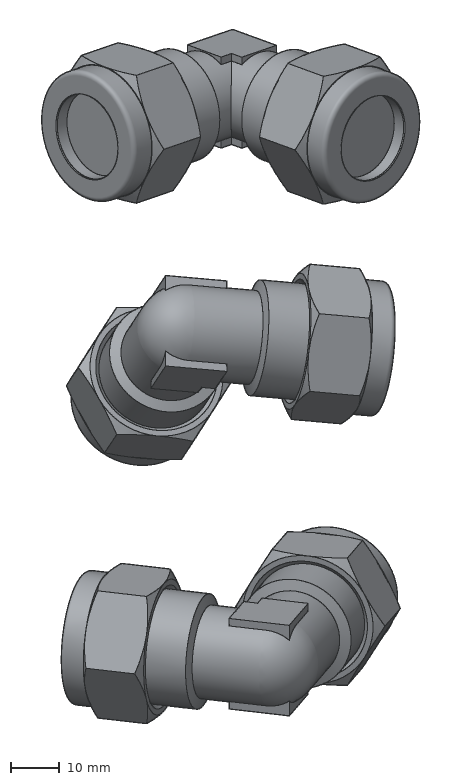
import cadquery as cq
import math

overall_length = 57.65
nut_across_flats = 28.0
nut_corner_radius = nut_across_flats / math.sqrt(3)
port_length = overall_length - nut_corner_radius

body_radius = 9.7
collar_radius = 11.95
collar_start = 14.4
collar_taper_length = 0.7

nut_start = 23.5
nut_end = 36.45
nut_chamfer_angle = 30.0
nut_recess_radius = 12.8
nut_recess_depth = nut_recess_radius - collar_radius

nose_radius = 13.9
nose_fillet = 1.0
bore_radius = 9.0
bore_depth = 3.05
bore_chamfer_radial = 0.1
bore_chamfer_length = 0.3

pad_half_height = 10.0
pad_outer = 4.95
pad_inner = 7.95


def cylinder(radius, start, end):
    """Cylinder about the Z axis between two heights."""
    return cq.Workplane("XY").workplane(offset=start).circle(radius).extrude(end - start)


def cone(start, start_radius, end, end_radius):
    """Solid frustum about the Z axis."""
    profile = [(0, start), (start_radius, start), (end_radius, end), (0, end)]
    return cq.Workplane("XZ").polyline(profile).close().revolve(360, (0, 0), (0, 1))


def make_nut():
    """Hexagon with both ends chamfered and a countersink on the collar side."""
    hexagon = (
        cq.Workplane("XY")
        .workplane(offset=nut_start)
        .polygon(6, 2 * nut_corner_radius)
        .extrude(nut_end - nut_start)
    )
    face_radius = nut_across_flats / 2
    chamfer_length = (nut_corner_radius - face_radius) * math.tan(math.radians(nut_chamfer_angle))
    envelope = (
        cq.Workplane("XZ")
        .moveTo(0, nut_start)
        .lineTo(face_radius, nut_start)
        .lineTo(nut_corner_radius, nut_start + chamfer_length)
        .lineTo(nut_corner_radius, nut_end - chamfer_length)
        .lineTo(face_radius, nut_end)
        .lineTo(0, nut_end)
        .close()
        .revolve(360, (0, 0), (0, 1))
    )
    recess = cone(nut_start, nut_recess_radius, nut_start + nut_recess_depth, collar_radius)
    return hexagon.intersect(envelope).cut(recess)


def make_port():
    """One complete port along +Z, starting at the elbow centre."""
    taper_end = collar_start + collar_taper_length
    body = cylinder(body_radius, 0, collar_start)
    taper = cone(collar_start, body_radius, taper_end, collar_radius)
    collar = cylinder(collar_radius, taper_end, nut_end)
    nose = cylinder(nose_radius, nut_end, port_length).faces(">Z").edges().fillet(nose_fillet)
    bore = cylinder(bore_radius, port_length - bore_depth, port_length)
    bore_mouth = cone(
        port_length - bore_chamfer_length, bore_radius, port_length, bore_radius + bore_chamfer_radial
    )
    port = body.union(taper).union(make_nut()).union(collar).union(nose)
    return port.cut(bore).cut(bore_mouth)


def make_pads():
    """L-shaped block whose top and bottom stand proud as flat pads."""
    outline = [
        (-pad_outer, pad_outer),
        (pad_inner, pad_outer),
        (pad_inner, -pad_outer),
        (pad_outer, -pad_outer),
        (pad_outer, -pad_inner),
        (-pad_outer, -pad_inner),
    ]
    return (
        cq.Workplane("XY")
        .workplane(offset=-pad_half_height)
        .polyline(outline)
        .close()
        .extrude(2 * pad_half_height)
    )


port_y = make_port().rotate((0, 0, 0), (1, 0, 0), 90)
port_x = port_y.rotate((0, 0, 0), (0, 0, 1), 90)
elbow_ball = cq.Workplane("XY").sphere(body_radius)

result = port_y.union(port_x).union(elbow_ball).union(make_pads())